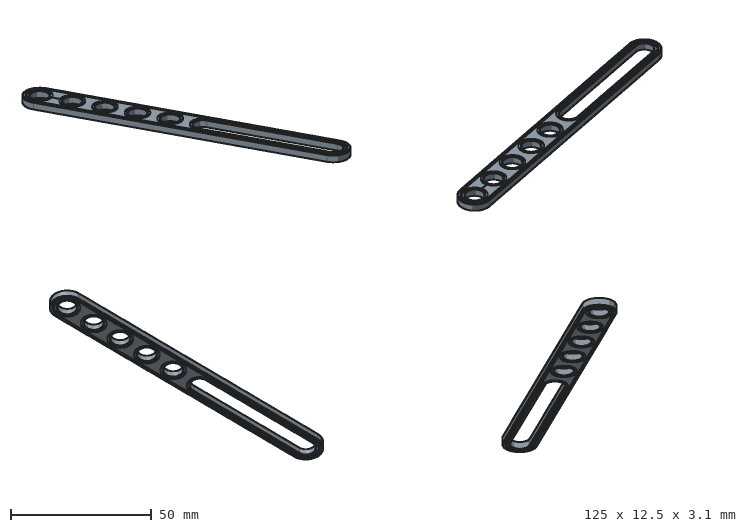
import cadquery as cq

length = 125.0
width = 12.5
thickness = 3.1

hole_pitch = width
round_hole_count = 5
opening_width = 7.0

rim_width = 1.1
rim_chamfer = 0.3
recess_depth = 0.2

rib_width = 0.1
rib_height = 0.1

first_hole_x = (width - length) / 2
hole_positions = [(first_hole_x + i * hole_pitch, 0) for i in range(round_hole_count)]
slot_start_x = first_hole_x + round_hole_count * hole_pitch
slot_end_x = -first_hole_x
slot_centre = ((slot_start_x + slot_end_x) / 2, 0)
slot_centre_distance = slot_end_x - slot_start_x


def bar_prism(offset, bottom, height):
    """Round-ended bar with its outline moved inward by offset."""
    plane = cq.Workplane("XY").workplane(offset=bottom)
    return plane.slot2D(length - 2 * offset, width - 2 * offset).extrude(height)


def opening_prisms(offset, bottom, height):
    """Prisms over every hole and the slot, with their outlines moved outward by offset."""
    opening = opening_width + 2 * offset
    plane = cq.Workplane("XY").workplane(offset=bottom)
    holes = plane.pushPoints(hole_positions).circle(opening / 2).extrude(height)
    slot = plane.center(*slot_centre).slot2D(slot_centre_distance + opening, opening).extrude(height)
    return holes.union(slot)


def marker_rib(bottom):
    """Low rib along the centreline from the first hole to the second."""
    plane = cq.Workplane("XY").workplane(offset=bottom)
    return plane.center(first_hole_x + hole_pitch / 2, 0).rect(hole_pitch, rib_width).extrude(rib_height)


def web_recess(bottom):
    """Shallow recess that leaves the outer rim and the opening rims standing."""
    recess = bar_prism(rim_width, bottom, recess_depth)
    return recess.cut(opening_prisms(rim_width, bottom, recess_depth))


blank = bar_prism(0, -thickness / 2, thickness)
blank = blank.cut(opening_prisms(0, -thickness / 2, thickness))
blank = blank.faces("<Z or >Z").chamfer(rim_chamfer)

top_floor = thickness / 2 - recess_depth
top_recess = web_recess(top_floor).cut(marker_rib(top_floor))
bottom_recess = web_recess(-thickness / 2)

result = blank.cut(top_recess).cut(bottom_recess)